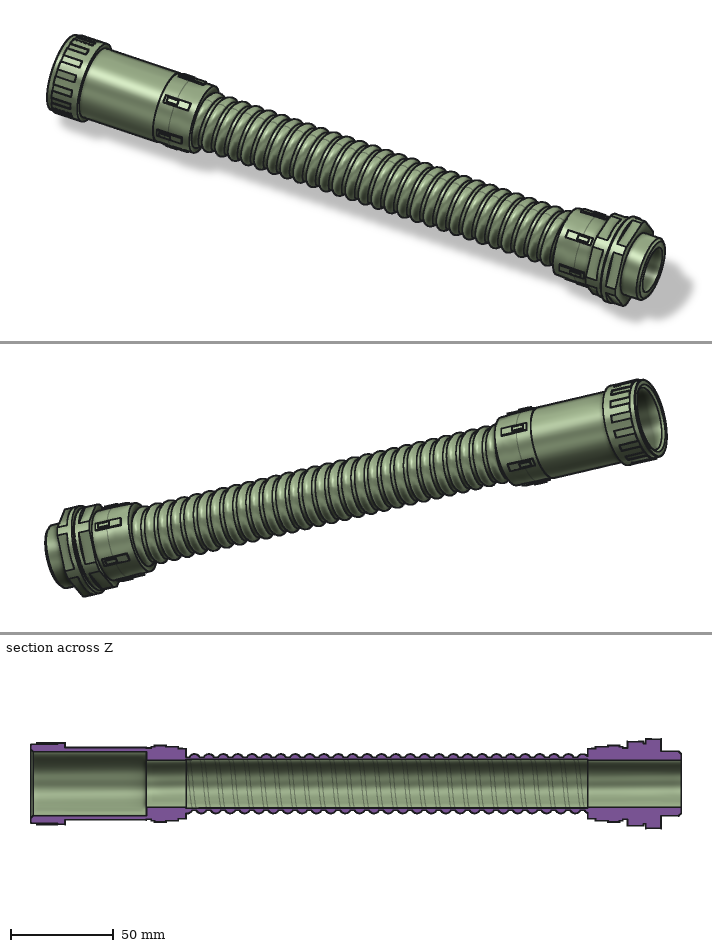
import cadquery as cq
import math

total_length = 316.7
bore_radius = 11.5

collar_length = 16.8
collar_radius = 20.0
collar_chamfer = 0.3
socket_end_x = 56.5
barrel_radius = 17.7
socket_bore_radius = 15.5
mouth_chamfer = 1.3
grip_groove_count = 16
grip_groove_width = 3.5
grip_groove_depth = 0.5
grip_rib_start_x = 3.0
grip_groove_end_x = 13.0

sleeve_length = 19.3
sleeve_radius = 17.5
sleeve_mouth_radius = 17.0
sleeve_taper_length = 11.5

latch_count = 6
latch_width = 3.8
latch_end_gap = 2.2
latch_length = 13.3
latch_radius = 18.0
latch_root_radius = 14.5
latch_hump_start = 1.5
latch_hump_length = 5.7
latch_hump_width = 2.2
latch_hump_radius = 18.7

hose_bore_radius = 11.7
hose_root_radius = 13.0
hose_crest_radius = 14.5
rib_pitch = 7.0
rib_width = 5.0
winding_start_x = 71.0
turn_count = 29
sewing_tolerance = 0.0001

gland_start_x = 290.5
body_hex_end_x = 296.0
body_end_x = 298.3
body_radius = 20.5
body_hex_apothem = 19.0
gasket_radius = 19.5
nut_start_x = 299.3
nut_hex_start_x = 301.8
nut_end_x = 307.0
nut_radius = 22.0
nut_hex_apothem = 20.0
spigot_radius = 15.8
spigot_chamfer = 1.3

hose_start_x = socket_end_x + sleeve_length
hose_end_x = gland_start_x - sleeve_length
cutter_clearance = 3.2


def cylinder(start_x, end_x, radius):
    return cq.Workplane("YZ").workplane(offset=start_x).circle(radius).extrude(end_x - start_x)


def hexagon(start_x, end_x, apothem, corner_radius):
    """Hexagon with flats facing +Z and -Z and corners rounded off on a cylinder."""
    across_corners = 2 * apothem / math.cos(math.pi / 6)
    prism = cq.Workplane("YZ").workplane(offset=start_x).polygon(6, across_corners)
    return prism.extrude(end_x - start_x).intersect(cylinder(start_x, end_x, corner_radius))


def around_axis(solid, count):
    """Copies of a solid spaced evenly around the X axis."""
    copies = cq.Workplane("XY")
    for i in range(count):
        copies = copies.add(solid.rotate((0, 0, 0), (1, 0, 0), i * 360 / count))
    return copies.combine()


def block_on_side(start_x, length, width, inner_radius, outer_radius):
    """Box on the +Y side, reaching from the inner to the outer radius."""
    box = cq.Workplane("XY").box(length, outer_radius - inner_radius, width, centered=(False, False, True))
    return box.translate((start_x, inner_radius, 0))


def make_socket():
    floor_radius = collar_radius - grip_groove_depth
    rim = cylinder(0, grip_rib_start_x, floor_radius).faces("<X").chamfer(collar_chamfer)
    cutter_radius = collar_radius + cutter_clearance
    groove = block_on_side(0, grip_groove_end_x, grip_groove_width, floor_radius, cutter_radius)
    collar = cylinder(grip_rib_start_x, collar_length, collar_radius)
    collar = collar.cut(around_axis(groove, grip_groove_count)).union(rim)
    return collar.union(cylinder(collar_length, socket_end_x, barrel_radius))


def make_sleeve():
    """Sleeve running from x = 0 to its tapered mouth at x = sleeve_length."""
    profile = [
        (0, 0),
        (0, sleeve_radius),
        (sleeve_length - sleeve_taper_length, sleeve_radius),
        (sleeve_length, sleeve_mouth_radius),
        (sleeve_length, 0),
    ]
    sleeve = cq.Workplane("XY").polyline(profile).close().revolve(360, (0, 0, 0), (1, 0, 0))
    latch = block_on_side(latch_end_gap, latch_length, latch_width, latch_root_radius, latch_radius)
    hump_x = latch_end_gap + latch_hump_start
    hump = block_on_side(hump_x, latch_hump_length, latch_hump_width, latch_root_radius, latch_hump_radius)
    return sleeve.union(around_axis(latch.union(hump), latch_count))


def make_hose():
    """Left-handed helical hose, wound from one-pitch turns and ending inside both sleeves."""
    path = cq.Wire.makeHelix(rib_pitch, rib_pitch, hose_root_radius, lefthand=True)
    section = (
        cq.Workplane("XZ")
        .moveTo(hose_root_radius, -rib_width / 2)
        .threePointArc((hose_crest_radius, 0), (hose_root_radius, rib_width / 2))
        .lineTo(hose_root_radius, rib_pitch - rib_width / 2)
        .lineTo(hose_bore_radius, rib_pitch - rib_width / 2)
        .lineTo(hose_bore_radius, rib_width / 2)
        .lineTo(hose_bore_radius, -rib_width / 2)
        .close()
    )
    turn = section.sweep(cq.Workplane(path), isFrenet=True)
    turn = turn.rotate((0, 0, 0), (0, 1, 0), 90).rotate((0, 0, 0), (1, 0, 0), 180)

    skin = []
    for i in range(turn_count):
        placed = turn.translate((winding_start_x + i * rib_pitch, 0, 0))
        faces = sorted(placed.faces().vals(), key=lambda face: face.Center().x)
        skin += faces[2:-2]
        if i == 0:
            skin += faces[:2]
    skin += faces[-2:]
    return cq.Workplane(cq.Solid.makeSolid(cq.occ_impl.shapes.shell(skin, tol=sewing_tolerance)))


def make_gland():
    gland = hexagon(gland_start_x, body_hex_end_x, body_hex_apothem, body_radius)
    gland = gland.union(cylinder(body_hex_end_x, body_end_x, body_radius))
    gland = gland.union(cylinder(body_end_x, nut_start_x, gasket_radius))
    gland = gland.union(cylinder(nut_start_x, nut_hex_start_x, nut_radius))
    gland = gland.union(hexagon(nut_hex_start_x, nut_end_x, nut_hex_apothem, nut_radius))
    spigot = cylinder(nut_end_x, total_length, spigot_radius).faces(">X").chamfer(spigot_chamfer)
    return gland.union(spigot)


sleeve = make_sleeve()

left_end = make_socket().union(sleeve.translate((socket_end_x, 0, 0)))
left_end = left_end.cut(cylinder(0, hose_start_x, bore_radius))
left_end = left_end.cut(cylinder(0, socket_end_x, socket_bore_radius))
mouth = cq.Workplane("YZ").circle(socket_bore_radius + mouth_chamfer)
mouth = mouth.workplane(offset=mouth_chamfer).circle(socket_bore_radius).loft()
left_end = left_end.cut(mouth)

right_end = make_gland().union(sleeve.mirror("YZ").translate((gland_start_x, 0, 0)))
right_end = right_end.cut(cylinder(hose_end_x, total_length, bore_radius))

result = make_hose().union(left_end, clean=False).union(right_end, clean=False)